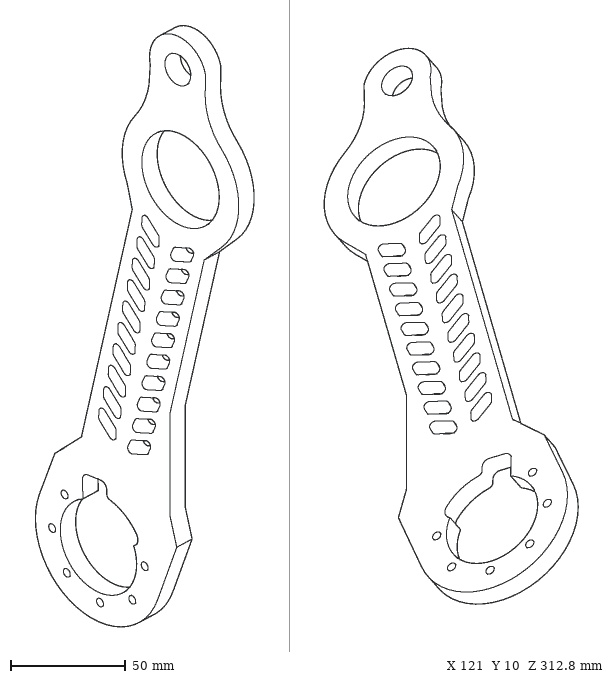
import cadquery as cq
import math

THICKNESS = 10.0
UPPER_RING_X = 48.8
UPPER_RING_Z = 203.5
ARM_ANGLE = math.degrees(math.atan2(UPPER_RING_Z, UPPER_RING_X))
ARM_HALF_WIDTH = 22.0

LOWER_BORE_DIAMETER = 45.5
UPPER_BORE_DIAMETER = 46.0
LOWER_RING_RADIUS = 37.5
UPPER_RING_RADIUS = 34.7
LUG_RADIUS = 17.0
LUG_X = 47.2
OVERALL_HEIGHT = 312.8
LUG_Z = OVERALL_HEIGHT - LOWER_RING_RADIUS - LUG_RADIUS
LUG_HOLE_DIAMETER = 15.3

LEFT_LUG_END_Z = 254.5
LEFT_NECK_TOP = (30.0, 244.3)
LEFT_NECK_BOTTOM_Z = 225.2
LEFT_NECK_RADIUS = 41.5
RIGHT_LUG_END_Z = 262.0
RIGHT_NECK_TOP = (63.5, 251.5)
RIGHT_NECK_BOTTOM_Z = 228.0
RIGHT_NECK_RADIUS = 33.0

LEFT_SHOULDER = (-26.0, 37.2)
LEFT_ARM_FOOT_Z = 51.5
RIGHT_SHOULDER = (46.5, 17.8)
RIGHT_EDGE_X = 42.5
RIGHT_EDGE_BOTTOM_Z = 32.2

LEFT_ARM_HEAD_Z = 177.7
LEFT_RING_END_Z = 189.5
RIGHT_TANGENT_ANGLE = -45.0

SLOT_COUNT = 10
SLOT_PITCH = 12.2
FIRST_SLOT_DISTANCE = 63.5
SLOT_OFFSET = 9.7
SLOT_LENGTH = 14.5
SLOT_END_LENGTH = 9.0
SLOT_TILT = 58.0
SLOT_END_TILT = 11.0
SLOT_CORNER_RADIUS = 2.2

BORE_TURN = 2.0
SCREW_HOLE_DIAMETER = 4.0
SCREW_CIRCLE_RADIUS = 27.5
SCREW_STEP = 45.0
SCREW_COUNT = 6
FIRST_SCREW_ANGLE = 135.0
KEYWAY_LEFT = -8.5
KEYWAY_RIGHT = 6.0
KEYWAY_TOP = 34.0
KEYWAY_CORNER_RADIUS = 3.5
RELIEF_RADIUS = 27.2
RELIEF_START_ANGLE = 20.5
RELIEF_CORNER_RADIUS = 4.5
RELIEF_KEYWAY_RADIUS = 2.2

UPPER_RING = (UPPER_RING_X, UPPER_RING_Z)
LUG = (LUG_X, LUG_Z)
LOWER_RING = (0.0, 0.0)


def polar(center, radius, angle):
    """Point at a radius and an angle in degrees from a centre."""
    turn = math.radians(angle)
    return (center[0] + radius * math.cos(turn), center[1] + radius * math.sin(turn))


def direction(start, end):
    """Angle in degrees of the line from start to end."""
    return math.degrees(math.atan2(end[1] - start[1], end[0] - start[0]))


def tangent_point(point, center, radius, side):
    """Where a line from an outside point touches a circle; side +1 is counterclockwise."""
    half_angle = math.degrees(math.acos(radius / math.dist(point, center)))
    return polar(center, radius, direction(center, point) + side * half_angle)


def point_at_height(center, radius, z, side):
    """Point of a circle at height z; side +1 is right."""
    return (center[0] + side * math.sqrt(radius**2 - (z - center[1]) ** 2), z)


def arm_edge(side, z):
    """Point of an arm edge at height z; side +1 is right."""
    slope = math.radians(ARM_ANGLE)
    return (z / math.tan(slope) + side * ARM_HALF_WIDTH / math.sin(slope), z)


def arm_edge_at_x(side, x):
    """Point of an arm edge at position x; side +1 is right."""
    slope = math.radians(ARM_ANGLE)
    return (x, (x - side * ARM_HALF_WIDTH / math.sin(slope)) * math.tan(slope))


def right_arm_head():
    """Where the right arm edge meets the line that touches the upper ring."""
    touch = polar(UPPER_RING, UPPER_RING_RADIUS, RIGHT_TANGENT_ANGLE)
    line_slope = math.tan(math.radians(RIGHT_TANGENT_ANGLE + 90))
    arm_slope = math.tan(math.radians(ARM_ANGLE))
    base_x = arm_edge(1, 0)[0]
    x = (touch[1] - line_slope * touch[0] + arm_slope * base_x) / (arm_slope - line_slope)
    return arm_edge_at_x(1, x)


def prism(sketch):
    """Extrude a closed wire on the XZ plane through the plate thickness."""
    return sketch.extrude(THICKNESS)


def edge_near(point):
    """Selector for the through-thickness edge closest to a point of the profile."""
    return cq.selectors.NearestToPointSelector((point[0], -THICKNESS / 2, point[1]))


def plate():
    """Outer outline, run counterclockwise from the lower ring."""
    left_touch = tangent_point(LEFT_SHOULDER, LOWER_RING, LOWER_RING_RADIUS, 1)
    right_touch = tangent_point(RIGHT_SHOULDER, LOWER_RING, LOWER_RING_RADIUS, -1)
    right_ring_touch = polar(UPPER_RING, UPPER_RING_RADIUS, RIGHT_TANGENT_ANGLE)
    left_arm_head = arm_edge(-1, LEFT_ARM_HEAD_Z)
    left_ring_end = point_at_height(UPPER_RING, UPPER_RING_RADIUS, LEFT_RING_END_Z, -1)
    left_neck_bottom = point_at_height(UPPER_RING, UPPER_RING_RADIUS, LEFT_NECK_BOTTOM_Z, -1)
    left_lug_end = point_at_height(LUG, LUG_RADIUS, LEFT_LUG_END_Z, -1)
    right_neck_bottom = point_at_height(UPPER_RING, UPPER_RING_RADIUS, RIGHT_NECK_BOTTOM_Z, 1)
    right_lug_end = point_at_height(LUG, LUG_RADIUS, RIGHT_LUG_END_Z, 1)
    return prism(
        cq.Workplane("XZ")
        .moveTo(*left_touch)
        .threePointArc((0, -LOWER_RING_RADIUS), right_touch)
        .lineTo(*RIGHT_SHOULDER)
        .lineTo(RIGHT_EDGE_X, RIGHT_EDGE_BOTTOM_Z)
        .lineTo(*arm_edge_at_x(1, RIGHT_EDGE_X))
        .lineTo(*right_arm_head())
        .lineTo(*right_ring_touch)
        .threePointArc((UPPER_RING_X + UPPER_RING_RADIUS, UPPER_RING_Z), right_neck_bottom)
        .radiusArc(RIGHT_NECK_TOP, RIGHT_NECK_RADIUS)
        .lineTo(*right_lug_end)
        .threePointArc((LUG_X, LUG_Z + LUG_RADIUS), left_lug_end)
        .lineTo(*LEFT_NECK_TOP)
        .radiusArc(left_neck_bottom, LEFT_NECK_RADIUS)
        .threePointArc((UPPER_RING_X - UPPER_RING_RADIUS, UPPER_RING_Z), left_ring_end)
        .lineTo(*left_arm_head)
        .lineTo(*arm_edge(-1, LEFT_ARM_FOOT_Z))
        .lineTo(*LEFT_SHOULDER)
        .close()
    )


def round_hole(center, diameter):
    return prism(cq.Workplane("XZ").center(*center).circle(diameter / 2))


def slot(distance, side):
    """Rounded parallelogram slot whose tilts are measured from the arm axis; side +1 is right."""
    center = (side * SLOT_OFFSET, distance)
    corners = []
    for length_sign, end_sign in ((-1, -1), (1, -1), (1, 1), (-1, 1)):
        end_middle = polar(center, length_sign * SLOT_LENGTH / 2, 90 - side * SLOT_TILT)
        corners.append(polar(end_middle, end_sign * SLOT_END_LENGTH / 2, 90 - side * SLOT_END_TILT))
    cutter = prism(cq.Workplane("XZ").polyline(corners).close())
    return cutter.edges("|Y").fillet(SLOT_CORNER_RADIUS)


def slots():
    """All slots, turned from upright onto the arm axis."""
    cutters = cq.Workplane("XZ")
    for index in range(SLOT_COUNT):
        for side in (-1, 1):
            cutters = cutters.add(slot(FIRST_SLOT_DISTANCE + index * SLOT_PITCH, side))
    return cutters.combine().rotate((0, 0, 0), (0, 1, 0), 90 - ARM_ANGLE)


def lower_opening():
    """Bore with a keyway at its top and a wider relief beside the keyway."""
    bore = round_hole(LOWER_RING, LOWER_BORE_DIAMETER)
    keyway = prism(
        cq.Workplane("XZ")
        .moveTo(KEYWAY_LEFT, 0)
        .lineTo(KEYWAY_LEFT, KEYWAY_TOP)
        .lineTo(KEYWAY_RIGHT, KEYWAY_TOP)
        .lineTo(KEYWAY_RIGHT, 0)
        .close()
    )
    keyway = keyway.edges("|Y and >Z").fillet(KEYWAY_CORNER_RADIUS)
    relief_middle_angle = (RELIEF_START_ANGLE + 90) / 2
    relief_corner = polar(LOWER_RING, RELIEF_RADIUS, RELIEF_START_ANGLE)
    relief = prism(
        cq.Workplane("XZ")
        .lineTo(*relief_corner)
        .threePointArc(polar(LOWER_RING, RELIEF_RADIUS, relief_middle_angle), (0, RELIEF_RADIUS))
        .close()
    )
    relief = relief.edges(edge_near(relief_corner)).fillet(RELIEF_CORNER_RADIUS)
    opening = bore.union(keyway).union(relief)
    keyway_meets_relief = (KEYWAY_RIGHT, math.sqrt(RELIEF_RADIUS**2 - KEYWAY_RIGHT**2))
    return opening.edges(edge_near(keyway_meets_relief)).fillet(RELIEF_KEYWAY_RADIUS)


def screw_holes():
    holes = cq.Workplane("XZ")
    for index in range(SCREW_COUNT):
        center = polar(LOWER_RING, SCREW_CIRCLE_RADIUS, FIRST_SCREW_ANGLE + index * SCREW_STEP)
        holes = holes.add(round_hole(center, SCREW_HOLE_DIAMETER))
    return holes.combine()


lower_cut = lower_opening().union(screw_holes()).rotate((0, 0, 0), (0, 1, 0), -BORE_TURN)

result = (
    plate()
    .cut(round_hole(UPPER_RING, UPPER_BORE_DIAMETER))
    .cut(round_hole(LUG, LUG_HOLE_DIAMETER))
    .cut(slots())
    .cut(lower_cut)
)